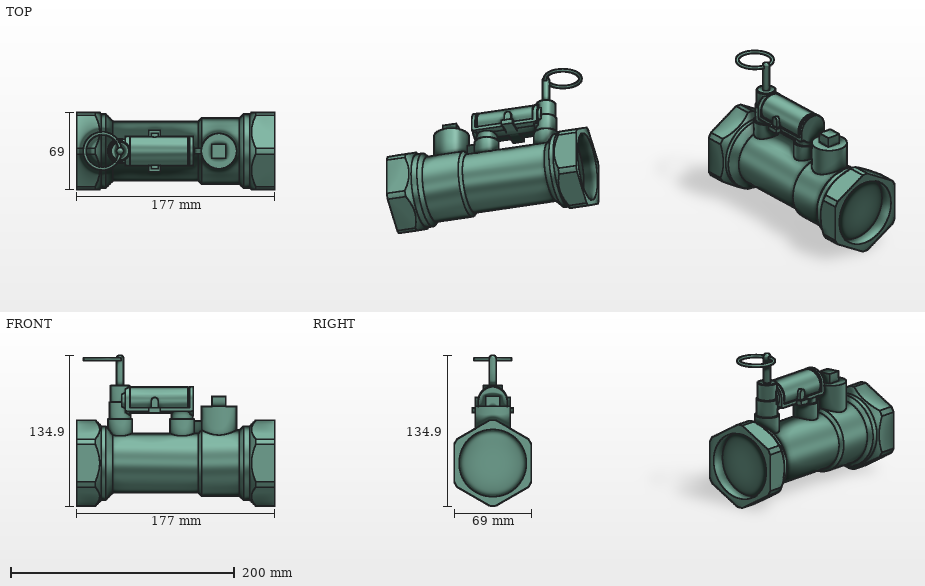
import cadquery as cq

length = 177.0
hex_across_flats = 69.0
hex_corner_radius = 38.4
collar_radius = 33.1
pipe_radius = 26.5
valve_radius = 29.5
bore_radius = 30.1
bore_depth = 12.5

left_hex_end = 16.6
left_collar_end = 25.8
valve_start = 108.7
valve_end = 145.3
right_collar_start = 149.2
right_collar_end = 154.7
hex_bevel = hex_corner_radius - collar_radius

stub_radius = 11.0
stub_top = 39.5
stub_edge_break = 0.4
neck_radius = 9.5
drain_x = 38.8
neck_x = 94.2

shank_top = 54.9
head_radius = 8.7
head_top = 69.5
step_chamfer = 0.7
stem_radius = 3.2
dome_center_z = 93.3
ring_tube_radius = 1.5
ring_radius = 15.8
ring_z = 92.7

plug_x = 127.0
plug_radius = 15.8
plug_top = 50.6
plug_square = 12.5
plug_square_top = 59.6
web_width = 5.0
web_top = 37.7

barrel_z = 55.2
core_radius = 10.6
core_start = 40.4
barrel_radius = 13.0
barrel_end = 99.7
barrel_chamfer = 0.5
groove_radius = 12.2
cradle_start = 43.2
cradle_end = 104.3
cradle_radius = 13.1
left_wall = 4.0
right_wall = 3.2
cradle_bottom = 46.2
cradle_floor = 3.2
cradle_corner = 1.2
cradle_width = 2 * cradle_radius
cradle_floor_top = cradle_bottom + cradle_floor
seat_start = cradle_start + left_wall
seat_end = cradle_end - right_wall

clip_x = 69.7
clip_length = 10.3
clip_span = 36.8
clip_bottom = 45.0
tab_width = 6.0
tab_span = 31.5
tab_top = 58.5


def upright(x, radius, bottom, top):
    """Vertical cylinder on the body's centre plane."""
    return cq.Workplane("XY", origin=(x, 0, bottom)).circle(radius).extrude(top - bottom)


def barrel_disc(radius, start, end):
    """Cylinder on the barrel axis."""
    return cq.Workplane("YZ", origin=(start, 0, barrel_z)).circle(radius).extrude(end - start)


def centered_box(x_start, x_end, width, bottom, top):
    """Box symmetric about the body's centre plane."""
    box = cq.Workplane("XY").box(x_end - x_start, width, top - bottom, centered=(False, True, False))
    return box.translate((x_start, 0, bottom))


def make_body():
    profile = [
        (0, 0),
        (0, hex_corner_radius),
        (left_hex_end, hex_corner_radius),
        (left_hex_end + hex_bevel, collar_radius),
        (left_collar_end, collar_radius),
        (left_collar_end + collar_radius - pipe_radius, pipe_radius),
        (valve_start, pipe_radius),
        (valve_start + valve_radius - pipe_radius, valve_radius),
        (valve_end, valve_radius),
        (right_collar_start, collar_radius),
        (right_collar_end, collar_radius),
        (right_collar_end + hex_bevel, hex_corner_radius),
        (length, hex_corner_radius),
        (length, 0),
    ]
    turned = cq.Workplane("XY").polyline(profile).close().revolve(360, (0, 0, 0), (1, 0, 0))
    hexagon = cq.Workplane("YZ").polygon(6, hex_across_flats, circumscribed=True).extrude(length)
    return turned.intersect(hexagon)


def make_bores():
    left = cq.Workplane("YZ").circle(bore_radius).extrude(bore_depth)
    return left.union(left.translate((length - bore_depth, 0, 0)))


def make_stubs():
    stubs = cq.Workplane("XY")
    for x in (drain_x, neck_x):
        stubs = stubs.union(upright(x, stub_radius, 0, stub_top).faces(">Z").chamfer(stub_edge_break))
    return stubs.union(upright(neck_x, neck_radius, stub_top, barrel_z))


def make_drain():
    shank = upright(drain_x, neck_radius, stub_top, shank_top).faces(">Z").chamfer(step_chamfer)
    head = upright(drain_x, head_radius, stub_top, head_top).faces(">Z").chamfer(step_chamfer)
    stem = upright(drain_x, stem_radius, shank_top, dome_center_z)
    dome = cq.Workplane("XY", origin=(drain_x, 0, dome_center_z)).sphere(stem_radius)
    ring = cq.Workplane(cq.Solid.makeTorus(ring_radius, ring_tube_radius))
    ring = ring.translate((drain_x - ring_radius, 0, ring_z))
    return shank.union(head).union(stem).union(dome).union(ring)


def make_plug():
    cap = upright(plug_x, plug_radius, 0, plug_top)
    half = plug_square / 2
    square = centered_box(plug_x - half, plug_x + half, plug_square, plug_top, plug_square_top)
    web = centered_box(neck_x, plug_x, web_width, 0, web_top)
    return cap.union(square).union(web)


def make_cradle():
    block = centered_box(cradle_start, cradle_end, cradle_width, cradle_bottom, barrel_z)
    block = block.edges("|Y and <Z").chamfer(cradle_corner)
    opening = centered_box(seat_start, seat_end, cradle_width, cradle_floor_top, barrel_z)
    opening = opening.edges("|Y and <Z").chamfer(cradle_corner / 2)
    cradle = block.cut(opening)
    for start, end in ((cradle_start, seat_start), (seat_end, cradle_end)):
        cradle = cradle.union(barrel_disc(cradle_radius, start, end))
    return cradle


def make_barrel():
    shell = barrel_disc(barrel_radius, seat_start, barrel_end).faces("<X or >X").chamfer(barrel_chamfer)
    barrel_top = barrel_z + barrel_radius
    shell = shell.intersect(centered_box(seat_start, barrel_end, cradle_width, cradle_bottom, barrel_top))
    groove = barrel_disc(groove_radius, barrel_end, cradle_end)
    core = barrel_disc(core_radius, core_start, cradle_end)
    return shell.union(groove).union(core)


def make_clips():
    clip_start = clip_x - clip_length / 2
    foot = centered_box(clip_start, clip_start + clip_length, clip_span, clip_bottom, cradle_floor_top)
    tab_radius = tab_width / 2
    shoulder = tab_top - tab_radius
    tab = (
        cq.Workplane("XZ", origin=(clip_x, 0, 0))
        .moveTo(-tab_radius, clip_bottom)
        .lineTo(-tab_radius, shoulder)
        .threePointArc((0, tab_top), (tab_radius, shoulder))
        .lineTo(tab_radius, clip_bottom)
        .close()
        .extrude(tab_span / 2, both=True)
    )
    return foot.union(tab)


result = (
    make_body()
    .union(make_stubs())
    .union(make_drain())
    .union(make_plug())
    .union(make_cradle())
    .union(make_barrel())
    .union(make_clips())
    .cut(make_bores())
)